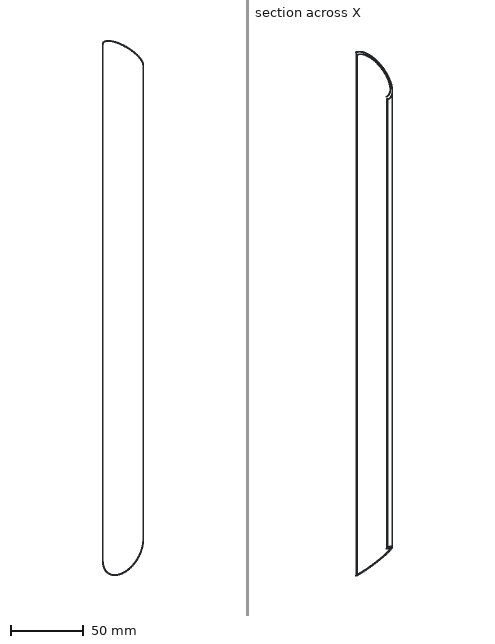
import cadquery as cq

outer_diameter = 28.0
wall_thickness = 1.5
centre_length = 360.0

outer_radius = outer_diameter / 2
inner_radius = outer_radius - wall_thickness

long_half_length = centre_length / 2 + outer_radius
short_half_length = centre_length / 2 - outer_radius


def make_tube():
    """Square-ended tube reaching the tips of both mitres."""
    return (
        cq.Workplane("XY")
        .workplane(offset=-long_half_length)
        .circle(outer_radius)
        .circle(inner_radius)
        .extrude(2 * long_half_length)
    )


def make_mitre_envelope():
    """Trapezoidal prism whose sloping sides are the two mitre planes."""
    return (
        cq.Workplane("YZ")
        .moveTo(-outer_radius, -long_half_length)
        .lineTo(outer_radius, -short_half_length)
        .lineTo(outer_radius, short_half_length)
        .lineTo(-outer_radius, long_half_length)
        .close()
        .extrude(outer_radius, both=True)
    )


result = make_tube().intersect(make_mitre_envelope())